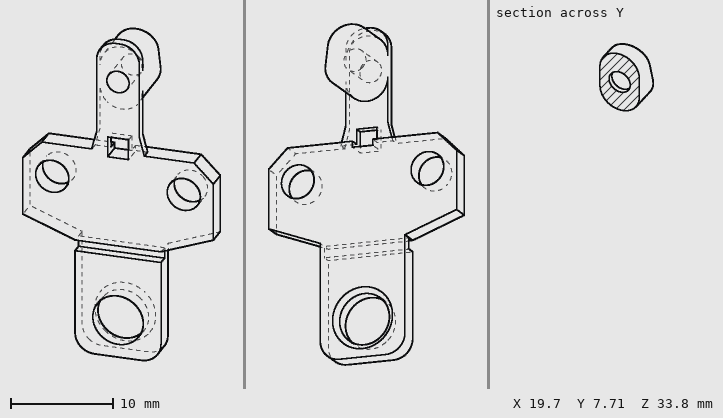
import cadquery as cq

plate_width = 19.7
plate_thickness = 2.2
plate_top = 22.07
plate_side_bottom = 14.03
plate_bottom = 12.0
corner_clip = 2.0
mount_hole_diameter = 3.4
mount_hole_spacing = 13.6
mount_hole_height = 18.52

tab_width = 8.9
tab_corner_radius = 2.03
tab_hole_diameter = 5.2
tab_hole_height = 4.0
tab_hole_countersink = 0.55
groove_height = 1.15
groove_depth = plate_thickness / 2

arm_top = 33.8
arm_width = 4.43
arm_thickness = 1.05
arm_corner_radius = 2.0
flare_width = 5.45
flare_top = 24
window_size = 2.13
window_bottom = 21.45

pin_width = arm_width
pin_height = 6.7
pin_center_height = 29.68
pin_reach_top = 5.95
pin_reach_bottom = 7.95
pin_edge_radius = 0.7
pin_hole_diameter = 2.3
pin_hole_depth = 4.4


def block(width, depth, bottom, top):
    """Box centered on X, from Y = 0 to depth and from bottom to top."""
    return cq.Workplane("XY", origin=(0, 0, bottom)).box(width, depth, top - bottom, centered=(True, False, False))


def round_hole(x, z, diameter, depth):
    """Cylinder running back from the front face."""
    return cq.Workplane("XZ").center(x, z).circle(diameter / 2).extrude(-depth)


def make_plate():
    half_width = plate_width / 2
    right_edge = [
        (tab_width / 2, plate_bottom),
        (half_width, plate_side_bottom),
        (half_width, plate_top - corner_clip),
        (half_width - corner_clip, plate_top),
    ]
    left_edge = [(-x, z) for x, z in reversed(right_edge)]
    return cq.Workplane("XZ").polyline(right_edge + left_edge).close().extrude(-plate_thickness)


def make_tab():
    tab = block(tab_width, plate_thickness, 0, plate_bottom)
    tab = tab.edges("|Y and <Z").fillet(tab_corner_radius)
    return tab.cut(block(tab_width, groove_depth, plate_bottom - groove_height, plate_bottom))


def make_tab_hole():
    hole = round_hole(0, tab_hole_height, tab_hole_diameter, plate_thickness)
    wide_radius = tab_hole_diameter / 2 + tab_hole_countersink
    countersink = (
        cq.Workplane("XZ", origin=(0, plate_thickness, tab_hole_height))
        .circle(wide_radius)
        .extrude(tab_hole_countersink, taper=45)
    )
    return hole.union(countersink)


def make_arm():
    arm = block(arm_width, arm_thickness, plate_top, arm_top)
    arm = arm.edges("|Y and >Z").fillet(arm_corner_radius)
    flare = (
        cq.Workplane("XZ")
        .moveTo(-flare_width / 2, plate_top)
        .lineTo(flare_width / 2, plate_top)
        .lineTo(arm_width / 2, flare_top)
        .lineTo(-arm_width / 2, flare_top)
        .close()
        .extrude(-arm_thickness)
    )
    return arm.union(flare)


def make_pin():
    pin_bottom = pin_center_height - pin_height / 2
    pin_top = pin_center_height + pin_height / 2
    section = (
        cq.Workplane("XZ")
        .center(0, pin_center_height)
        .slot2D(pin_height, pin_width, 90)
        .extrude(-pin_reach_bottom)
    )
    side_profile = (
        cq.Workplane("YZ")
        .polyline([(0, pin_bottom), (pin_reach_bottom, pin_bottom), (pin_reach_top, pin_top), (0, pin_top)])
        .close()
        .extrude(pin_width, both=True)
    )
    return section.intersect(side_profile).faces(">Y").edges().fillet(pin_edge_radius)


result = make_plate().union(make_tab()).union(make_arm()).union(make_pin())

for side in (-1, 1):
    result = result.cut(
        round_hole(side * mount_hole_spacing / 2, mount_hole_height, mount_hole_diameter, plate_thickness)
    )
result = result.cut(make_tab_hole())
result = result.cut(round_hole(0, pin_center_height, pin_hole_diameter, pin_hole_depth))
result = result.cut(block(window_size, plate_thickness, window_bottom, window_bottom + window_size))